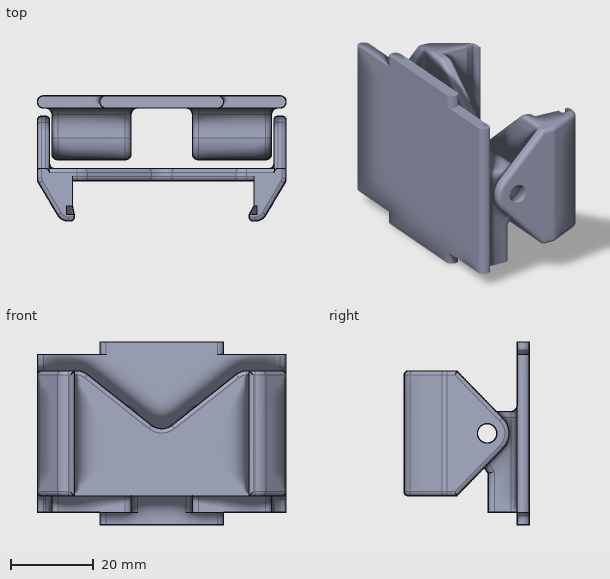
import cadquery as cq
import math

SIDES = (-1, 1)
TOLERANCE = 0.005
WIDTH = 60.0

PLATE_THICKNESS = 3.0
PLATE_HEIGHT = 38.1
TAB_HEIGHT = 44.1
TAB_WIDTH = 29.8

HINGE_Y = -10.2
HINGE_RADIUS = 5.3
HINGE_HOLE_DIAMETER = 4.6

ARM_THICKNESS = 3.0
WALL_THICKNESS = 3.0
WALL_BACK_Y = -17.5
WALL_FRONT_Y = WALL_BACK_Y - WALL_THICKNESS
BRACKET_HEIGHT = 30.1
BRACKET_TOP = BRACKET_HEIGHT / 2
ARM_END_Y = HINGE_Y + HINGE_RADIUS
ARM_INNER_X = WIDTH / 2 - ARM_THICKNESS
EDGE_RADIUS = 1.0
ARM_CORNER_RADIUS = 1.0
ARM_ROOT_DEPTH = 1.8

HOOK_FRONT_Y = -30.25
HOOK_TAPER = 5.75
HOOK_SHOULDER_RADIUS = 2.5
HOOK_NOSE_RADIUS = 3.0
LIP_X = 21.05
LIP_BACK_Y = -28.7
GROOVE_BACK_Y = -26.65
GROOVE_OUTER_X = 23.0
GROOVE_FLOOR_Z = -5.45
HOOK_INNER_X = {-1: 21.5, 1: 22.2}

NOTCH_HALF_WIDTH = 19.0
NOTCH_DEPTH = BRACKET_TOP
NOTCH_RADIUS = 4.0

BLOCK_WIDTH = 19.15
BLOCK_ARM_GAP = 0.5
BLOCK_FOOT_Y = -9.95
BLOCK_KINK_Z = -9.65
BLOCK_EDGE_RADIUS = 1.5
BLOCK_OUTER_X = ARM_INNER_X - BLOCK_ARM_GAP
BLOCK_CENTER_X = BLOCK_OUTER_X - BLOCK_WIDTH / 2


def hinge_tangent_point(y, z, turn):
    """Point where the line from (y, z) touches the hinge circle; turn (+1 or -1) picks the line."""
    distance = math.hypot(y - HINGE_Y, z)
    direction = math.atan2(z, y - HINGE_Y)
    angle = direction + turn * math.acos(HINGE_RADIUS / distance)
    return (HINGE_Y + HINGE_RADIUS * math.cos(angle), HINGE_RADIUS * math.sin(angle))


def hinge_hole():
    """Cylinder along X through the whole assembly at the hinge axis."""
    return (
        cq.Workplane("YZ")
        .center(HINGE_Y, 0)
        .circle(HINGE_HOLE_DIAMETER / 2)
        .extrude(WIDTH / 2, both=True)
    )


def rounded_slab(width, height):
    """Upright slab whose two side edges are full rounds."""
    return (
        cq.Workplane("XY")
        .center(0, -PLATE_THICKNESS / 2)
        .slot2D(width, PLATE_THICKNESS)
        .extrude(height / 2, both=True)
    )


def hinge_block(side):
    """Block with a round nose about the hinge axis and a foot down to the plate's lower edge."""
    foot_z = -PLATE_HEIGHT / 2
    root_y = -PLATE_THICKNESS / 2
    touch = hinge_tangent_point(BLOCK_FOOT_Y, BLOCK_KINK_Z, -1)
    nose = (HINGE_Y - HINGE_RADIUS, 0)
    block = (
        cq.Workplane("YZ", origin=(side * BLOCK_CENTER_X, 0, 0))
        .moveTo(root_y, foot_z)
        .lineTo(root_y, HINGE_RADIUS)
        .lineTo(HINGE_Y, HINGE_RADIUS)
        .threePointArc(nose, touch)
        .lineTo(BLOCK_FOOT_Y, BLOCK_KINK_Z)
        .lineTo(BLOCK_FOOT_Y, foot_z)
        .close()
        .extrude(BLOCK_WIDTH / 2, both=True)
    )
    return block.faces("<X or >X").edges("not(>Y or <Z)").fillet(BLOCK_EDGE_RADIUS)


def is_block_root(edge):
    """True for the edges where a hinge block rises from the plate's front face."""
    box = edge.BoundingBox()
    on_plate_face = abs(box.ymin + PLATE_THICKNESS) < TOLERANCE and box.ylen < TOLERANCE
    inside_outline = max(abs(box.xmin), abs(box.xmax)) < BLOCK_OUTER_X + TOLERANCE
    return on_plate_face and inside_outline and abs(box.zmax) < HINGE_RADIUS + TOLERANCE


def make_plate():
    plate = rounded_slab(WIDTH, PLATE_HEIGHT)
    for side in SIDES:
        plate = plate.union(hinge_block(side))
    plate = plate.edges().filter(is_block_root).fillet(BLOCK_EDGE_RADIUS)
    plate = plate.union(rounded_slab(TAB_WIDTH, TAB_HEIGHT))
    return plate.cut(hinge_hole())


def wall_and_hook(side):
    """One half of the bracket without its arm: half of the wall and a hook, as an upright extrusion."""
    wall_x = HOOK_INNER_X[side]
    outline = [
        (0, WALL_BACK_Y),
        (WIDTH / 2, WALL_BACK_Y),
        (WIDTH / 2, WALL_FRONT_Y),
        (WIDTH / 2 - HOOK_TAPER, HOOK_FRONT_Y),
        (LIP_X, HOOK_FRONT_Y),
        (LIP_X, LIP_BACK_Y),
        (wall_x, GROOVE_BACK_Y),
        (wall_x, WALL_FRONT_Y),
        (0, WALL_FRONT_Y),
    ]
    half = (
        cq.Workplane("XY")
        .polyline([(side * x, y) for x, y in outline])
        .close()
        .extrude(BRACKET_HEIGHT / 2, both=True)
    )
    half = round_upright_edge(half, side * WIDTH / 2, WALL_FRONT_Y, HOOK_SHOULDER_RADIUS)
    return round_upright_edge(half, side * (WIDTH / 2 - HOOK_TAPER), HOOK_FRONT_Y, HOOK_NOSE_RADIUS)


def round_upright_edge(body, x, y, radius):
    """Fillet the one vertical edge that stands at (x, y)."""
    return body.edges(cq.NearestToPointSelector((x, y, 0))).fillet(radius)


def arm_wedge(side, thickness):
    """Slab on the outside of an arm's inner face, with a round end and two straight flanks."""
    touch_y, touch_z = hinge_tangent_point(WALL_BACK_Y, BRACKET_TOP, -1)
    slope = (BRACKET_TOP - touch_z) / (touch_y - WALL_BACK_Y)
    root_y = WALL_BACK_Y - ARM_ROOT_DEPTH
    root_z = BRACKET_TOP + slope * ARM_ROOT_DEPTH
    return (
        cq.Workplane("YZ", origin=(side * ARM_INNER_X, 0, 0))
        .moveTo(root_y, root_z)
        .lineTo(touch_y, touch_z)
        .threePointArc((ARM_END_Y, 0), (touch_y, -touch_z))
        .lineTo(root_y, -root_z)
        .close()
        .extrude(side * thickness)
    )


def arm(side):
    """Arm with a rounded inner rim, cut to the height of the wall where it enters it."""
    inner_face = "<X" if side > 0 else ">X"
    wedge = arm_wedge(side, ARM_THICKNESS)
    wedge = wedge.faces(inner_face).edges("not <Y").fillet(EDGE_RADIUS)
    return wedge.intersect(cq.Workplane("XY").box(WIDTH, WIDTH, BRACKET_HEIGHT))


def corner_fillet(side):
    """Concave upright fillet between arm and wall, kept below the rounded rim of the arm."""
    corner_x = side * ARM_INNER_X
    start_x = side * (ARM_INNER_X - ARM_CORNER_RADIUS)
    end_y = WALL_BACK_Y + ARM_CORNER_RADIUS
    mid_offset = ARM_CORNER_RADIUS * (1 - math.sqrt(0.5))
    post = (
        cq.Workplane("XY")
        .moveTo(corner_x, WALL_BACK_Y)
        .lineTo(start_x, WALL_BACK_Y)
        .threePointArc((corner_x - side * mid_offset, WALL_BACK_Y + mid_offset), (corner_x, end_y))
        .close()
        .extrude(BRACKET_HEIGHT / 2, both=True)
    )
    rim_drop = EDGE_RADIUS * math.sqrt(2)
    below_rim = arm_wedge(side, -ARM_CORNER_RADIUS).translate((0, -rim_drop, 0))
    return post.intersect(below_rim)


def notch():
    """V-shaped cutter for the wall with a round bottom and rounded shoulders."""
    above = BRACKET_TOP + NOTCH_DEPTH
    cutter = (
        cq.Workplane("XZ", origin=(0, WALL_BACK_Y, 0))
        .moveTo(-ARM_INNER_X, above)
        .lineTo(-ARM_INNER_X, BRACKET_TOP)
        .lineTo(-NOTCH_HALF_WIDTH, BRACKET_TOP)
        .lineTo(0, BRACKET_TOP - NOTCH_DEPTH)
        .lineTo(NOTCH_HALF_WIDTH, BRACKET_TOP)
        .lineTo(ARM_INNER_X, BRACKET_TOP)
        .lineTo(ARM_INNER_X, above)
        .close()
        .extrude(WALL_THICKNESS)
    )
    for x, z in [
        (-NOTCH_HALF_WIDTH, BRACKET_TOP),
        (0, BRACKET_TOP - NOTCH_DEPTH),
        (NOTCH_HALF_WIDTH, BRACKET_TOP),
    ]:
        middle_y = WALL_BACK_Y - WALL_THICKNESS / 2
        cutter = cutter.edges(cq.NearestToPointSelector((x, middle_y, z))).fillet(NOTCH_RADIUS)
    return cutter


def is_wall_rim(edge):
    """Upper outline of the wall, on its back face and between the hooks on its front face."""
    box = edge.BoundingBox()
    flat = box.ylen < TOLERANCE and box.xlen > TOLERANCE
    on_wall = abs(box.ymin - WALL_BACK_Y) < TOLERANCE or abs(box.ymin - WALL_FRONT_Y) < TOLERANCE
    return flat and on_wall and box.zmin > 0


def is_outer_rim(edge):
    """Outline of the outer skin, round the arm and along the hook, with the lip's front corner."""
    box = edge.BoundingBox()
    reach = max(abs(box.xmin), abs(box.xmax))
    if box.xlen < TOLERANCE and box.ylen < TOLERANCE:
        return box.ymax < HOOK_FRONT_Y + TOLERANCE and reach < LIP_X + TOLERANCE
    on_arm_side = box.xlen < TOLERANCE and reach > WIDTH / 2 - TOLERANCE
    on_hook_taper = reach > GROOVE_OUTER_X and box.ymax < WALL_BACK_Y - ARM_ROOT_DEPTH - TOLERANCE
    on_hook_front = box.ymax < HOOK_FRONT_Y + TOLERANCE
    return on_arm_side or on_hook_taper or on_hook_front


def groove(side):
    """Slot behind the lip, open at the top and towards the middle, closed below by a floor."""
    return (
        cq.Workplane("XY", origin=(0, 0, GROOVE_FLOOR_Z))
        .center(side * (GROOVE_OUTER_X + LIP_X) / 2, (GROOVE_BACK_Y + LIP_BACK_Y) / 2)
        .rect(GROOVE_OUTER_X - LIP_X, GROOVE_BACK_Y - LIP_BACK_Y)
        .extrude(BRACKET_TOP - GROOVE_FLOOR_Z)
    )


def make_bracket():
    bracket = wall_and_hook(-1).union(wall_and_hook(1)).cut(notch()).clean()
    bracket = bracket.edges().filter(is_wall_rim).fillet(EDGE_RADIUS)
    for side in SIDES:
        bracket = bracket.union(arm(side)).clean()
    bracket = bracket.edges().filter(is_outer_rim).fillet(EDGE_RADIUS)
    for side in SIDES:
        bracket = bracket.union(corner_fillet(side)).cut(groove(side))
    return bracket.cut(hinge_hole())


plate = make_plate()
bracket = make_bracket()
result = cq.Compound.makeCompound([plate.val(), bracket.val()])